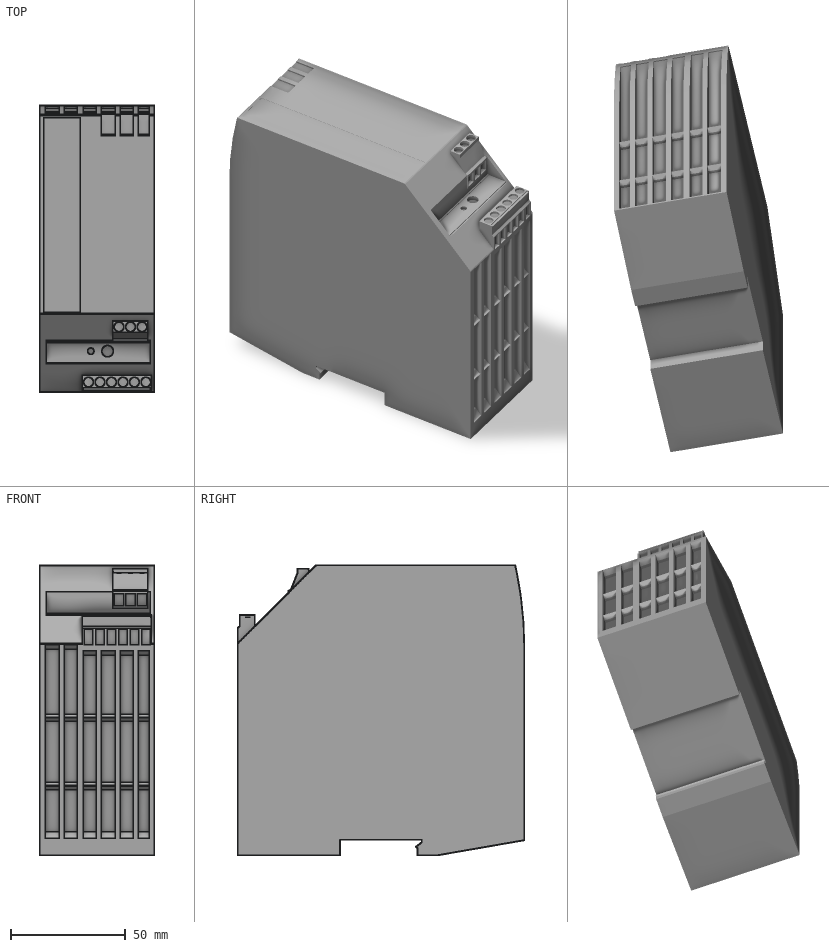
import cadquery as cq

WIDTH = 50.0
DEPTH = 125.0
HEIGHT = 126.5
FRONT_SLOPE = 34.2
SLOPE_BASE_Z = HEIGHT - FRONT_SLOPE
EDGE_BREAK = 0.25

REAR_TOP_SETBACK = 4.0
REAR_ARC_Z = 90.0
REAR_ARC_RISE = HEIGHT - REAR_ARC_Z
REAR_ARC_RADIUS = (REAR_ARC_RISE**2 + REAR_TOP_SETBACK**2) / (2 * REAR_TOP_SETBACK)
REAR_TOP_Y = DEPTH - REAR_TOP_SETBACK
REAR_BEVEL = 0.5
SIDE_WALL = 0.8

RAIL_FRONT_Y = 44.7
RAIL_TOP_Z = 6.8
HOOK_Y = 78.3
HOOK_NOSE = 0.6
HOOK_NOSE_Z = 3.8
HOOK_UNDERCUT = 1.9
HOOK_UNDERCUT_Z = 5.7
FOOT_REAR_Y = 87.0
REAR_BOTTOM_Z = 6.6

GROOVES = [(2.5, 8.6), (10.8, 16.4), (19.1, 24.7), (26.9, 33.0), (35.2, 40.8), (43.0, 47.7)]
GROOVE_DEPTH = 3.7
GROOVE_BOTTOM_Z = 7.4
GROOVE_FLOOR_Z = 10.4
LIP_DEPTH = 0.5
LIP_DROP = 0.3
BEVEL_DEPTH = 2.9
UNDERSIDE_DEPTH = 2.4
UNDERSIDE_DROP = 1.9
RIB_TOPS_Z = [61.6, 31.9]
RIB_HEIGHT = 3.2
RIB_LAND_DEPTH = 1.3
RIB_CREST_DROP = 1.7
LONG_GROOVE_TOP_Z = 91.8
SHORT_GROOVE_TOP_Z = 89.2
REAR_GROOVE_TOP_Z = 124.5
LONG_GROOVES = 2

LABEL_X = (1.9, 17.6)
LABEL_Y = (34.9, 119.6)
LABEL_DEPTH = 0.1
TOP_SLOT_FRONT_Y = 111.8
TOP_SLOT_DEPTH = 0.7
TOP_SLOT_END_RUN = 0.5
FIRST_TOP_SLOT = 3

WINDOW_X = (2.9, 48.2)
WINDOW_FLOOR_Z = 104.65
WINDOW_TOP_Z = 115.0
WINDOW_WALL_Y = 22.1
WINDOW_WALL_LEAN = 0.5
WINDOW_WALL_TOP_Y = WINDOW_WALL_Y + WINDOW_WALL_LEAN
PLATE_THICKNESS = 0.5
PLATE_TOP_Z = WINDOW_FLOOR_Z + PLATE_THICKNESS
PLATE_FRONT_Y = 12.8
LEDGE_FRONT_Y = 21.5
LEDGE_HEIGHT = 0.3
LEDGE_TOP_Z = PLATE_TOP_Z + LEDGE_HEIGHT
CONTROLS_Y = 17.9
BUTTON_X = 29.6
BUTTON_DIAMETER = 5.0
BUTTON_DEPTH = 2.0
LAMP_X = 22.3
LAMP_DIAMETER = 2.8
LAMP_DEPTH = 1.5

POLE_PITCH = 5.0
SCREW_DIAMETER = 4.2
POCKET_DEPTH = 1.8

UPPER_X = (31.9, 47.2)
UPPER_TOP_Z = 125.0
UPPER_REAR_Y = 30.9
UPPER_FRONT_Y = 26.1
UPPER_RIM_Z = 123.1
UPPER_SLOPE_FOOT = (23.2, 115.75)
UPPER_FACE_Y = 22.0
UPPER_FACE_TOP_Z = 115.2
UPPER_BOTTOM_Z = 107.7
UPPER_BODY_REAR_Y = 35.0
UPPER_SCREW_Y = 28.5
UPPER_SCREW_DEPTH = 2.0
UPPER_FIRST_POLE_X = 34.6
UPPER_POLES = 3
UPPER_POCKET_WIDTH = 4.0
UPPER_POCKET_Z = (108.8, 114.0)

LOWER_X = (18.6, 48.6)
LOWER_TOP_Z = 104.8
LOWER_BOTTOM_Z = 90.2
LOWER_REAR_Y = 7.5
LOWER_SETBACK = 0.9
LOWER_LEDGE_Z = 99.0
LOWER_SCREW_Y = 4.4
LOWER_SCREW_DEPTH = 1.0
LOWER_FIRST_POLE_X = 21.3
LOWER_POLES = 6
LOWER_POCKET_WIDTH = 3.6
LOWER_POCKET_Z = (91.8, 98.5)
TOP_STEP_WIDTH = 1.0
TOP_STEP_DROP = 0.5
END_WALL = 0.5


def box(x_range, y_range, z_range):
    """Block between two limits on each axis."""
    length = x_range[1] - x_range[0]
    width = y_range[1] - y_range[0]
    height = z_range[1] - z_range[0]
    block = cq.Workplane("XY").box(length, width, height, centered=False)
    return block.translate((x_range[0], y_range[0], z_range[0]))


def side_prism(points, x_range):
    """Prism whose (Y, Z) outline is swept along X between two limits."""
    outline = cq.Workplane("YZ").polyline(points).close()
    return outline.extrude(x_range[1] - x_range[0]).translate((x_range[0], 0, 0))


def upright_cylinder(x, y, top_z, diameter, depth):
    """Vertical cylinder hanging down from its top face."""
    return cq.Workplane("XY", origin=(x, y, top_z)).circle(diameter / 2).extrude(-depth)


def make_housing():
    """Housing body: the side outline swept across the full width."""
    arc_half_rise = REAR_ARC_RISE / 2
    arc_half_setback = REAR_ARC_RADIUS - (REAR_ARC_RADIUS**2 - arc_half_rise**2) ** 0.5
    outline = (
        cq.Workplane("YZ")
        .moveTo(0, 0)
        .lineTo(RAIL_FRONT_Y, 0)
        .lineTo(RAIL_FRONT_Y, RAIL_TOP_Z)
        .lineTo(HOOK_Y + HOOK_UNDERCUT, RAIL_TOP_Z)
        .lineTo(HOOK_Y + HOOK_UNDERCUT, HOOK_UNDERCUT_Z)
        .lineTo(HOOK_Y - HOOK_NOSE, HOOK_NOSE_Z)
        .lineTo(HOOK_Y, HOOK_NOSE_Z - HOOK_NOSE)
        .lineTo(HOOK_Y, 0)
        .lineTo(FOOT_REAR_Y, 0)
        .lineTo(DEPTH, REAR_BOTTOM_Z)
        .lineTo(DEPTH, REAR_ARC_Z)
        .threePointArc((DEPTH - arc_half_setback, REAR_ARC_Z + arc_half_rise), (REAR_TOP_Y, HEIGHT))
        .lineTo(FRONT_SLOPE + EDGE_BREAK, HEIGHT)
        .lineTo(FRONT_SLOPE - EDGE_BREAK, HEIGHT - EDGE_BREAK)
        .lineTo(EDGE_BREAK, SLOPE_BASE_Z + EDGE_BREAK)
        .lineTo(0, SLOPE_BASE_Z - EDGE_BREAK)
        .close()
    )
    return outline.extrude(WIDTH)


def rear_bevel():
    """Bevel of the top rear edge between the side walls."""
    return side_prism(
        [
            (REAR_TOP_Y - REAR_BEVEL, HEIGHT),
            (DEPTH, HEIGHT),
            (DEPTH, HEIGHT - EDGE_BREAK),
            (REAR_TOP_Y, HEIGHT - EDGE_BREAK),
        ],
        (SIDE_WALL, WIDTH - SIDE_WALL),
    )


def rib_points(top_z):
    """Groove side of one cross rib as (depth, Z) points, from below to above."""
    crest_z = top_z - RIB_CREST_DROP
    return [
        (GROOVE_DEPTH, top_z - RIB_HEIGHT),
        (UNDERSIDE_DEPTH, top_z - RIB_HEIGHT),
        (LIP_DEPTH, crest_z),
        (RIB_LAND_DEPTH, crest_z + LIP_DROP),
        (BEVEL_DEPTH, top_z),
        (GROOVE_DEPTH, top_z),
    ]


def groove(x_range, top_z, on_rear):
    """Vent groove with sloping ends, crossed by ribs set back from the face."""
    profile = [
        (0, GROOVE_BOTTOM_Z),
        (LIP_DEPTH, GROOVE_BOTTOM_Z + LIP_DROP),
        (BEVEL_DEPTH, GROOVE_FLOOR_Z),
        (GROOVE_DEPTH, GROOVE_FLOOR_Z),
    ]
    for rib_top_z in reversed(RIB_TOPS_Z):
        profile += rib_points(rib_top_z)
    profile += [
        (GROOVE_DEPTH, top_z - UNDERSIDE_DROP),
        (UNDERSIDE_DEPTH, top_z - UNDERSIDE_DROP),
        (LIP_DEPTH, top_z - LIP_DROP),
        (0, top_z),
    ]
    if on_rear:
        profile = [(DEPTH - depth, z) for depth, z in profile]
    return side_prism(profile, x_range)


def top_slot(x_range):
    """Shallow slot in the top with a sloping front end, open at the rear edge."""
    floor_z = HEIGHT - TOP_SLOT_DEPTH
    return side_prism(
        [
            (TOP_SLOT_FRONT_Y, HEIGHT),
            (TOP_SLOT_FRONT_Y + TOP_SLOT_END_RUN, floor_z),
            (DEPTH, floor_z),
            (DEPTH, HEIGHT),
        ],
        x_range,
    )


def window():
    """Window opening with a slightly leaning rear wall."""
    return side_prism(
        [
            (0, WINDOW_FLOOR_Z),
            (WINDOW_WALL_Y, WINDOW_FLOOR_Z),
            (WINDOW_WALL_TOP_Y, WINDOW_TOP_Z),
            (0, WINDOW_TOP_Z),
        ],
        WINDOW_X,
    )


def window_floor():
    """Raised floor plate with a low ledge along the rear wall."""
    plate = box(WINDOW_X, (PLATE_FRONT_Y, WINDOW_WALL_TOP_Y), (WINDOW_FLOOR_Z, PLATE_TOP_Z))
    ledge = box(WINDOW_X, (LEDGE_FRONT_Y, WINDOW_WALL_TOP_Y), (PLATE_TOP_Z, LEDGE_TOP_Z))
    return plate.union(ledge)


def cut_controls(body):
    """Push button and lamp holes in the floor plate."""
    body = body.cut(upright_cylinder(BUTTON_X, CONTROLS_Y, PLATE_TOP_Z, BUTTON_DIAMETER, BUTTON_DEPTH))
    return body.cut(upright_cylinder(LAMP_X, CONTROLS_Y, PLATE_TOP_Z, LAMP_DIAMETER, LAMP_DEPTH))


def upper_block():
    """Terminal block above the window, with a front face that hangs into it."""
    return side_prism(
        [
            (UPPER_FACE_Y, UPPER_BOTTOM_Z),
            (UPPER_FACE_Y, UPPER_FACE_TOP_Z),
            UPPER_SLOPE_FOOT,
            (UPPER_FRONT_Y, UPPER_RIM_Z),
            (UPPER_FRONT_Y, UPPER_TOP_Z),
            (UPPER_REAR_Y, UPPER_TOP_Z),
            (UPPER_BODY_REAR_Y, UPPER_BOTTOM_Z),
        ],
        UPPER_X,
    )


def lower_block():
    """Terminal block on the lower end of the sloped face, set back above a ledge."""
    block = side_prism(
        [
            (0, LOWER_BOTTOM_Z),
            (0, LOWER_LEDGE_Z),
            (LOWER_SETBACK, LOWER_LEDGE_Z + LOWER_SETBACK),
            (LOWER_SETBACK, LOWER_TOP_Z),
            (LOWER_REAR_Y, LOWER_TOP_Z),
            (LOWER_REAR_Y, LOWER_BOTTOM_Z),
        ],
        LOWER_X,
    )
    step = box(
        (LOWER_X[0] + END_WALL, LOWER_X[1] - END_WALL),
        (0, LOWER_SETBACK + TOP_STEP_WIDTH),
        (LOWER_TOP_Z - TOP_STEP_DROP, LOWER_TOP_Z),
    )
    return block.cut(step)


def cut_poles(body, first_x, count, screw_y, top_z, screw_depth, face_y, pocket_width, pocket_z):
    """Screw hole in the top and wire pocket in the front for every pole of a block."""
    for pole in range(count):
        x = first_x + pole * POLE_PITCH
        body = body.cut(upright_cylinder(x, screw_y, top_z, SCREW_DIAMETER, screw_depth))
        pocket_x = (x - pocket_width / 2, x + pocket_width / 2)
        body = body.cut(box(pocket_x, (face_y, face_y + POCKET_DEPTH), pocket_z))
    return body


body = make_housing().cut(rear_bevel())
for index, columns in enumerate(GROOVES):
    front_top_z = LONG_GROOVE_TOP_Z if index < LONG_GROOVES else SHORT_GROOVE_TOP_Z
    body = body.cut(groove(columns, front_top_z, on_rear=False))
    body = body.cut(groove(columns, REAR_GROOVE_TOP_Z, on_rear=True))
    if index >= FIRST_TOP_SLOT:
        body = body.cut(top_slot(columns))
body = body.cut(box(LABEL_X, LABEL_Y, (HEIGHT - LABEL_DEPTH, HEIGHT)))
body = body.cut(window()).union(window_floor())
body = cut_controls(body)
body = body.union(upper_block()).union(lower_block())
body = cut_poles(
    body,
    first_x=UPPER_FIRST_POLE_X,
    count=UPPER_POLES,
    screw_y=UPPER_SCREW_Y,
    top_z=UPPER_TOP_Z,
    screw_depth=UPPER_SCREW_DEPTH,
    face_y=UPPER_FACE_Y,
    pocket_width=UPPER_POCKET_WIDTH,
    pocket_z=UPPER_POCKET_Z,
)
body = cut_poles(
    body,
    first_x=LOWER_FIRST_POLE_X,
    count=LOWER_POLES,
    screw_y=LOWER_SCREW_Y,
    top_z=LOWER_TOP_Z,
    screw_depth=LOWER_SCREW_DEPTH,
    face_y=0,
    pocket_width=LOWER_POCKET_WIDTH,
    pocket_z=LOWER_POCKET_Z,
)
result = body